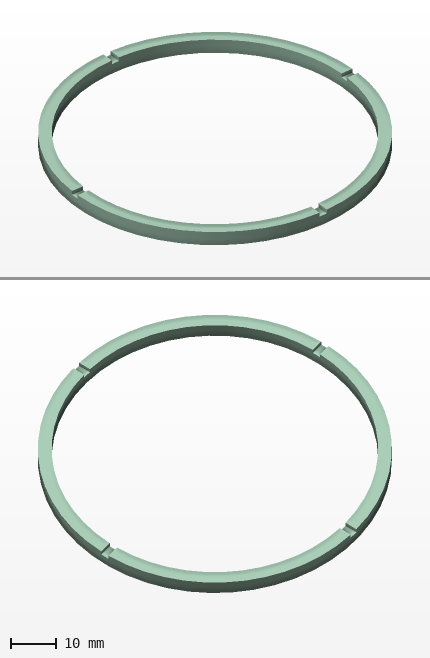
import cadquery as cq

outer_diameter = 77.0
inner_diameter = 71.0
height = 3.5

notch_width = 2.0
notch_depth = 1.0
notch_floor = height - notch_depth


def make_ring():
    """Flat ring standing on the XY plane, centred on the Z axis."""
    return (
        cq.Workplane("XY")
        .circle(outer_diameter / 2)
        .circle(inner_diameter / 2)
        .extrude(height)
    )


def make_notch_bar(length_x, length_y):
    """Bar spanning the ring, which cuts two opposite notches."""
    return (
        cq.Workplane("XY")
        .workplane(offset=notch_floor)
        .rect(length_x, length_y)
        .extrude(notch_depth)
    )


result = (
    make_ring()
    .cut(make_notch_bar(outer_diameter, notch_width))
    .cut(make_notch_bar(notch_width, outer_diameter))
)